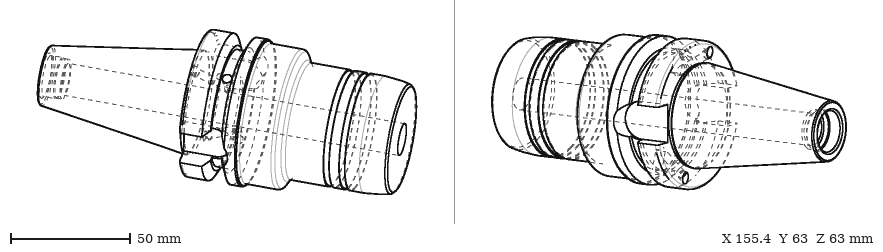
import cadquery as cq
import math

length = 155.4
flange_radius = 63.0 / 2

nose_radius = 25.8 / 2
nose_round = 0.6
taper_end = 65.1
taper_radius = 22.4
relief_radius = 44.0 / 2

flange_start = 66.7
flange_round = 1.2
flange_bevel_start = 76.6
groove_start = 79.1
groove_end = 84.0
collar_bevel_end = 86.5
groove_wall_radius = 26.7
groove_radius = 50.0 / 2
collar_end = 91.8
collar_chamfer = 0.6
collar_fillet = 1.1

body_radius = 60.0 / 2
shoulder_start = 107.5
shoulder_round = 1.7
shoulder_end = 110.3
shoulder_fillet = 1.9
sleeve_radius = 25.0
ring_radius = 49.0 / 2
ring_starts = (128.0, 134.9)
ring_width = 2.5
crown_start = 143.6
tip_radius = 23.5
tip_round = 1.0

slot_width = 16.2
slot_end = 88.1
slot_floor = 22.5

mouth_radius = 9.6
mouth_depth = 0.8
bore_radius = 17.5 / 2
bore_step = 5.9
inner_radius = 17.0 / 2
inner_start = 6.4
bore_depth = 8.7
through_radius = 13.5 / 2

channel_angle = 20.0
channel_slope = 35.0
channel_radius = 27.0
wide_diameter = 4.0
narrow_diameter = 3.3
wide_depth = 2.5
channel_exit = (groove_start + groove_end) / 2
channel_overrun = 4.7
radial_overrun = 1.5


def make_body():
    """Revolve the outer profile about X."""
    profile = (
        cq.Workplane("XY")
        .moveTo(0, 0)
        .lineTo(0, nose_radius - nose_round)
        .lineTo(nose_round, nose_radius)
        .lineTo(taper_end, taper_radius)
        .lineTo(taper_end, relief_radius)
        .lineTo(flange_start, relief_radius)
        .lineTo(flange_start, flange_radius - flange_round)
        .radiusArc((flange_start + flange_round, flange_radius), flange_round)
        .lineTo(flange_bevel_start, flange_radius)
        .lineTo(groove_start, groove_wall_radius)
        .lineTo(groove_start, groove_radius)
        .lineTo(groove_end, groove_radius)
        .lineTo(groove_end, groove_wall_radius)
        .lineTo(collar_bevel_end, flange_radius)
        .lineTo(collar_end - collar_chamfer, flange_radius)
        .lineTo(collar_end, flange_radius - collar_chamfer)
        .lineTo(collar_end, body_radius + collar_fillet)
        .radiusArc((collar_end + collar_fillet, body_radius), -collar_fillet)
        .lineTo(shoulder_start, body_radius)
        .lineTo(shoulder_end, sleeve_radius)
        .lineTo(crown_start, sleeve_radius)
    )
    crown_end = length - tip_round
    profile = (
        profile.tangentArcPoint((crown_end, tip_radius), relative=False)
        .lineTo(length, tip_radius - tip_round)
        .lineTo(length, 0)
        .close()
    )
    return profile.revolve(360, (0, 0, 0), (1, 0, 0))


def round_shoulder(body):
    """Round the top and foot of the conical shoulder."""
    tolerance = 0.2

    def edge_near(x):
        return cq.selectors.BoxSelector(
            (x - tolerance, -flange_radius, -flange_radius),
            (x + tolerance, flange_radius, flange_radius),
            boundingbox=True,
        )

    body = body.edges(edge_near(shoulder_start)).fillet(shoulder_round)
    return body.edges(edge_near(shoulder_end)).fillet(shoulder_fillet)


def make_ring_groove(start):
    return (
        cq.Workplane("YZ", origin=(start, 0, 0))
        .circle(flange_radius)
        .circle(ring_radius)
        .extrude(ring_width)
    )


def make_slot(side):
    """Round-ended drive slot; side is -1 or +1 along Y."""
    half_width = slot_width / 2
    arc_start = slot_end - half_width
    return (
        cq.Workplane("XZ", origin=(0, side * slot_floor, 0))
        .moveTo(taper_end, -half_width)
        .lineTo(arc_start, -half_width)
        .threePointArc((slot_end, 0), (arc_start, half_width))
        .lineTo(taper_end, half_width)
        .close()
        .extrude(-side * flange_radius)
    )


def make_bore():
    """Stepped bore, open at both ends."""
    return (
        cq.Workplane("XY")
        .moveTo(0, 0)
        .lineTo(0, mouth_radius)
        .lineTo(mouth_depth, bore_radius)
        .lineTo(bore_step, bore_radius)
        .lineTo(inner_start, inner_radius)
        .lineTo(bore_depth, inner_radius)
        .lineTo(bore_depth, through_radius)
        .lineTo(length, through_radius)
        .lineTo(length, 0)
        .close()
        .revolve(360, (0, 0, 0), (1, 0, 0))
    )


def make_channel(turn):
    """Sloping hole from the flange face, met by a radial hole in the groove."""
    slope = math.radians(channel_slope)
    direction = cq.Vector(math.cos(slope), 0, -math.sin(slope))
    entry = cq.Vector(flange_start, 0, channel_radius)
    mouth = entry - direction * channel_overrun
    run = channel_exit - flange_start
    meeting_radius = channel_radius - run * math.tan(slope)
    narrow = cq.Solid.makeCylinder(narrow_diameter / 2, run / math.cos(slope), entry, direction)
    wide = cq.Solid.makeCylinder(
        wide_diameter / 2, wide_depth + channel_overrun, mouth, direction
    )
    radial = cq.Solid.makeCylinder(
        wide_diameter / 2,
        groove_radius + radial_overrun - meeting_radius,
        cq.Vector(channel_exit, 0, meeting_radius),
        cq.Vector(0, 0, 1),
    )
    channel = cq.Workplane(narrow.fuse(wide, radial))
    return channel.rotate((0, 0, 0), (1, 0, 0), turn)


result = round_shoulder(make_body())
for ring_start in ring_starts:
    result = result.cut(make_ring_groove(ring_start))
for slot_side in (-1, 1):
    result = result.cut(make_slot(slot_side))
result = result.cut(make_bore())
for channel_turn in (channel_angle, channel_angle + 180):
    result = result.cut(make_channel(channel_turn))